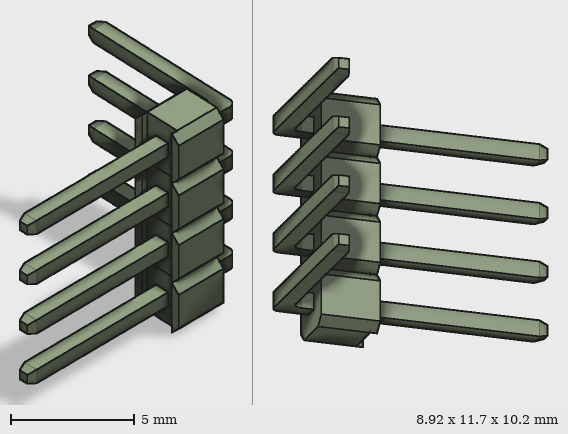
import cadquery as cq

UNIT_COUNT = 4
PITCH = 2.54

BLOCK_WIDTH = PITCH
BLOCK_DEPTH = PITCH
CORNER_CHAMFER = 0.4
CHANNEL_DEPTH = 0.3
CHANNEL_WIDTH = BLOCK_WIDTH - 2 * CORNER_CHAMFER

PIN_SIZE = 0.7
BEND_RADIUS = PIN_SIZE / 2
TIP_LENGTH = 0.4
TIP_SIZE = 0.455
OVERALL_X = 8.92
OVERALL_Y = 11.7
BEND_CLEARANCE = 0.9

BLOCK_BACK_Y = BLOCK_DEPTH / 2
BLOCK_FRONT_Y = -BLOCK_DEPTH / 2
LEG_INNER_Y = BLOCK_BACK_Y + BEND_CLEARANCE
LEG_OUTER_Y = LEG_INNER_Y + PIN_SIZE
LEG_CENTER_Y = LEG_INNER_Y + PIN_SIZE / 2
SIDE_TIP_X = BLOCK_WIDTH / 2 - OVERALL_X
FRONT_TIP_Y = LEG_OUTER_Y - OVERALL_Y
SIDE_SHANK_X = SIDE_TIP_X + TIP_LENGTH
FRONT_SHANK_Y = FRONT_TIP_Y + TIP_LENGTH


def make_block():
    """Block with chamfered lengthwise edges and a vertical channel in its front face."""
    block = (
        cq.Workplane("XY")
        .box(BLOCK_WIDTH, BLOCK_DEPTH, PITCH)
        .edges("|Y")
        .chamfer(CORNER_CHAMFER)
    )
    channel = (
        cq.Workplane("XY")
        .box(CHANNEL_WIDTH, CHANNEL_DEPTH, PITCH)
        .translate((0, BLOCK_FRONT_Y + CHANNEL_DEPTH / 2, 0))
    )
    return block.cut(channel)


def make_tip(plane):
    """Tapered pin end growing from the origin of the given plane along its normal."""
    return (
        cq.Workplane(plane)
        .rect(PIN_SIZE, PIN_SIZE)
        .workplane(offset=TIP_LENGTH)
        .rect(TIP_SIZE, TIP_SIZE)
        .loft(ruled=True)
    )


def make_pin():
    """L-shaped pin: one leg runs forward along -Y, the other sideways along -X."""
    half = PIN_SIZE / 2
    shank = (
        cq.Workplane("XY")
        .moveTo(half, FRONT_SHANK_Y)
        .lineTo(half, LEG_OUTER_Y)
        .lineTo(SIDE_SHANK_X, LEG_OUTER_Y)
        .lineTo(SIDE_SHANK_X, LEG_INNER_Y)
        .lineTo(-half, LEG_INNER_Y)
        .lineTo(-half, FRONT_SHANK_Y)
        .close()
        .extrude(half, both=True)
    )
    outer_corner = cq.selectors.NearestToPointSelector((half, LEG_OUTER_Y, 0))
    inner_corner = cq.selectors.NearestToPointSelector((-half, LEG_INNER_Y, 0))
    shank = shank.edges("|Z").edges(outer_corner).fillet(BEND_RADIUS)
    shank = shank.edges("|Z").edges(inner_corner).fillet(BEND_RADIUS)

    front_end = cq.Plane(origin=(0, FRONT_SHANK_Y, 0), xDir=(1, 0, 0), normal=(0, -1, 0))
    side_end = cq.Plane(origin=(SIDE_SHANK_X, LEG_CENTER_Y, 0), xDir=(0, 1, 0), normal=(-1, 0, 0))
    return shank.union(make_tip(front_end)).union(make_tip(side_end))


def make_unit(center_z):
    """One header position: block and pin joined as a single body."""
    return make_block().union(make_pin()).translate((0, 0, center_z))


units = []
for index in range(UNIT_COUNT):
    unit_z = (index - (UNIT_COUNT - 1) / 2) * PITCH
    units.append(make_unit(unit_z).solids().val())

result = cq.Compound.makeCompound(units)